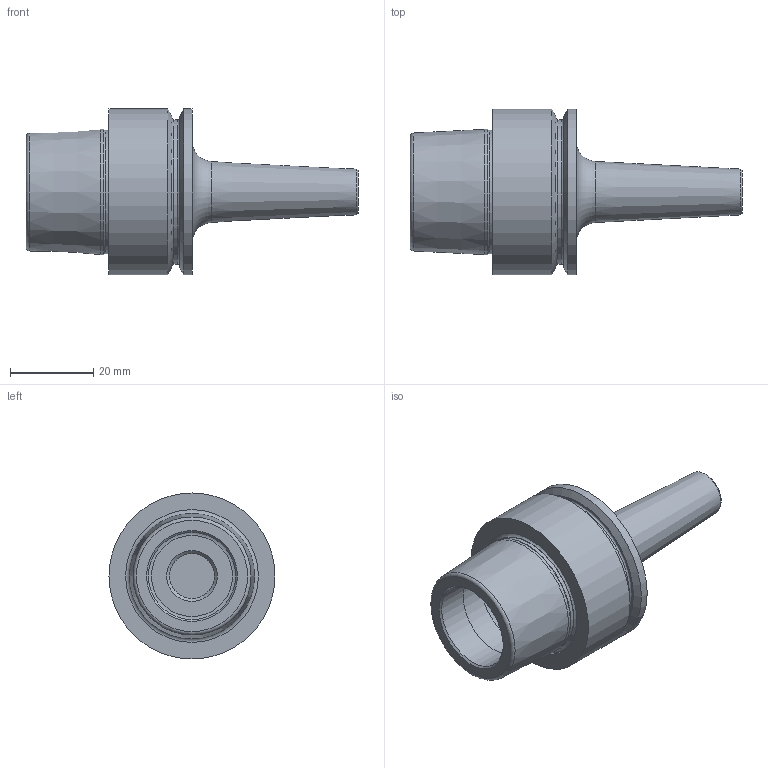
import cadquery as cq
import math


SHANK_LENGTH = 20.0
GAUGE_RADIUS = 15.08
TAPER_END_X = -1.95
TAPER_RATE = 0.05
SHANK_END_ROUND = 0.8

NECK_RADIUS = 14.9
NECK_LAND_END_X = -1.25
NECK_START_X = -0.95
RELIEF_OUTER_RADIUS = 16.0
RELIEF_DEPTH = 0.7

FLANGE_RADIUS = 20.0
FLANGE_WIDTH = 20.0
GROOVE_CENTRE_X = 16.08
GROOVE_MOUTH_WIDTH = 3.85
GROOVE_SLOT_WIDTH = 1.86
GROOVE_WALL_ANGLE = 30.0
GROOVE_FLOOR_RADIUS = 17.4
GROOVE_FLOOR_ROUND = 0.45

STEM_LENGTH = 40.0
STEM_TIP_RADIUS = 5.5
STEM_TAPER_ANGLE = 3.0
STEM_ROOT_ROUND = 5.0
TIP_CHAMFER_LENGTH = 0.4
TIP_CHAMFER_HEIGHT = 0.3

BORE_RADIUS = 10.5
BORE_CHAMFER = 0.45
BORE_DEPTH = 7.8
UNDERCUT_RADIUS = 11.5
CAVITY_FLOOR_ROUND = 1.75
CAVITY_DEPTH = 16.45

HOLE_RADIUS = 5.4
HOLE_CHAMFER = 0.7
HOLE_DEPTH = 8.0

SHANK_END_X = -SHANK_LENGTH
STEM_END_X = FLANGE_WIDTH + STEM_LENGTH


def revolve(profile):
    """Turn a closed (x, radius) profile about the X axis."""
    return profile.close().revolve(360, (0, 0, 0), (1, 0, 0))


def make_shank():
    end_radius = GAUGE_RADIUS - TAPER_RATE * (TAPER_END_X - SHANK_END_X)
    shank = revolve(
        cq.Workplane("XY")
        .moveTo(SHANK_END_X, 0)
        .lineTo(SHANK_END_X, end_radius)
        .lineTo(TAPER_END_X, GAUGE_RADIUS)
        .lineTo(NECK_LAND_END_X, GAUGE_RADIUS)
        .lineTo(NECK_START_X, NECK_RADIUS)
        .lineTo(0, NECK_RADIUS)
        .lineTo(0, 0)
    )
    return shank.faces("<X").edges().fillet(SHANK_END_ROUND)


def make_flange():
    return cq.Workplane("YZ").circle(FLANGE_RADIUS).extrude(FLANGE_WIDTH)


def make_face_relief():
    """Ring recess whose floor runs into the neck through a root arc."""
    root_round = RELIEF_OUTER_RADIUS - NECK_RADIUS
    root_start_x = RELIEF_DEPTH - root_round
    root_middle = (
        root_start_x + root_round * math.sin(math.pi / 4),
        RELIEF_OUTER_RADIUS - root_round * math.cos(math.pi / 4),
    )
    return revolve(
        cq.Workplane("XY")
        .moveTo(root_start_x, NECK_RADIUS)
        .lineTo(root_start_x, RELIEF_OUTER_RADIUS)
        .lineTo(RELIEF_DEPTH, RELIEF_OUTER_RADIUS)
        .threePointArc(root_middle, (root_start_x, NECK_RADIUS))
    )


def make_gripper_groove():
    half_mouth = GROOVE_MOUTH_WIDTH / 2
    half_slot = GROOVE_SLOT_WIDTH / 2
    slope_depth = (half_mouth - half_slot) / math.tan(math.radians(GROOVE_WALL_ANGLE))
    slope_end_radius = FLANGE_RADIUS - slope_depth
    groove = revolve(
        cq.Workplane("XY")
        .moveTo(GROOVE_CENTRE_X - half_mouth, FLANGE_RADIUS)
        .lineTo(GROOVE_CENTRE_X - half_slot, slope_end_radius)
        .lineTo(GROOVE_CENTRE_X - half_slot, GROOVE_FLOOR_RADIUS)
        .lineTo(GROOVE_CENTRE_X + half_slot, GROOVE_FLOOR_RADIUS)
        .lineTo(GROOVE_CENTRE_X + half_slot, slope_end_radius)
        .lineTo(GROOVE_CENTRE_X + half_mouth, FLANGE_RADIUS)
    )
    floor_edges = cq.selectors.RadiusNthSelector(0)
    return groove.edges(floor_edges).fillet(GROOVE_FLOOR_ROUND)


def make_stem():
    """Tapered stem whose root arc is tangent to the flange face and to the cone."""
    angle = math.radians(STEM_TAPER_ANGLE)
    slope = math.tan(angle)
    centre_x = FLANGE_WIDTH + STEM_ROOT_ROUND
    tangent_x = centre_x - STEM_ROOT_ROUND * math.sin(angle)
    tangent_radius = STEM_TIP_RADIUS + slope * (STEM_END_X - tangent_x)
    centre_radius = tangent_radius + STEM_ROOT_ROUND * math.cos(angle)
    mid_angle = (math.pi / 2 - angle) / 2
    arc_middle = (
        centre_x - STEM_ROOT_ROUND * math.cos(mid_angle),
        centre_radius - STEM_ROOT_ROUND * math.sin(mid_angle),
    )
    chamfer_x = STEM_END_X - TIP_CHAMFER_LENGTH
    return revolve(
        cq.Workplane("XY")
        .moveTo(FLANGE_WIDTH, 0)
        .lineTo(FLANGE_WIDTH, centre_radius)
        .threePointArc(arc_middle, (tangent_x, tangent_radius))
        .lineTo(chamfer_x, STEM_TIP_RADIUS + slope * TIP_CHAMFER_LENGTH)
        .lineTo(STEM_END_X, STEM_TIP_RADIUS - TIP_CHAMFER_HEIGHT)
        .lineTo(STEM_END_X, 0)
    )


def make_cavity():
    bore_end_x = SHANK_END_X + BORE_DEPTH
    floor_x = SHANK_END_X + CAVITY_DEPTH
    round_start_x = floor_x - CAVITY_FLOOR_ROUND
    floor_radius = UNDERCUT_RADIUS - CAVITY_FLOOR_ROUND
    round_middle = (
        round_start_x + CAVITY_FLOOR_ROUND * math.sin(math.pi / 4),
        floor_radius + CAVITY_FLOOR_ROUND * math.cos(math.pi / 4),
    )
    return revolve(
        cq.Workplane("XY")
        .moveTo(SHANK_END_X, 0)
        .lineTo(SHANK_END_X, BORE_RADIUS + BORE_CHAMFER)
        .lineTo(SHANK_END_X + BORE_CHAMFER, BORE_RADIUS)
        .lineTo(bore_end_x, BORE_RADIUS)
        .lineTo(bore_end_x, UNDERCUT_RADIUS)
        .lineTo(round_start_x, UNDERCUT_RADIUS)
        .threePointArc(round_middle, (floor_x, floor_radius))
        .lineTo(floor_x, HOLE_RADIUS + HOLE_CHAMFER)
        .lineTo(floor_x + HOLE_CHAMFER, HOLE_RADIUS)
        .lineTo(floor_x + HOLE_DEPTH, HOLE_RADIUS)
        .lineTo(floor_x + HOLE_DEPTH, 0)
    )


body = make_shank().union(make_flange()).union(make_stem())
result = body.cut(make_face_relief()).cut(make_gripper_groove()).cut(make_cavity())